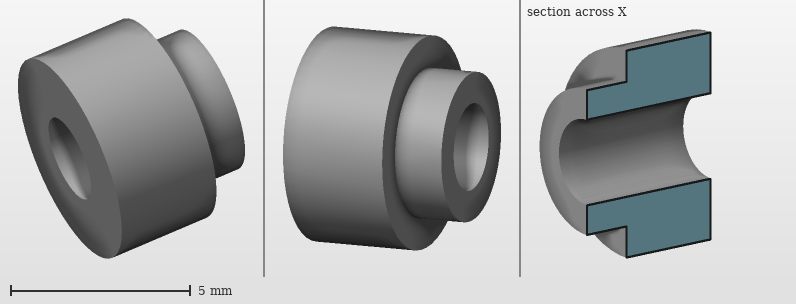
import cadquery as cq

body_diameter = 6.0
body_length = 3.0
spigot_diameter = 4.2
spigot_length = 1.4
bore_diameter = 2.46

total_length = body_length + spigot_length


def cylinder_along_y(diameter, length):
    """Solid cylinder from the Y = 0 plane toward +Y."""
    return cq.Workplane("XZ").circle(diameter / 2).extrude(-length)


body = cylinder_along_y(body_diameter, body_length)
spigot = cylinder_along_y(spigot_diameter, total_length)

bore = cylinder_along_y(bore_diameter, total_length)

result = body.union(spigot).cut(bore)